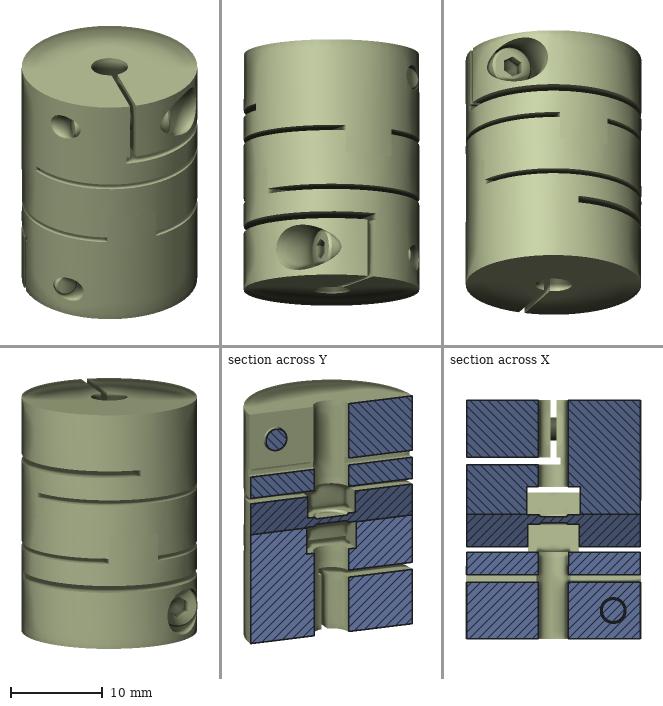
import cadquery as cq
import math


total_height = 26.0
outer_diameter = 19.1
outer_radius = outer_diameter / 2
tongue_gap = 1.1
disc_clearance = 0.57

hub_height = 9.46
bore_diameter = 4.0
tongue_width = 5.56
tongue_inner_distance = 2.85
tongue_top = (total_height - tongue_gap) / 2
tongue_height = tongue_top - hub_height

clamp_height = 6.25
cross_cut_height = 0.75
cross_cut_end = 0.75
clamp_slot_width = 0.68

screw_offset = 6.5
screw_level = clamp_height / 2
screw_diameter = 2.5
shank_length = 8.0
tip_chamfer = 0.2
head_diameter = 4.5
head_height = 2.5
head_chamfer_axial = 0.25
head_chamfer_radial = 0.2
head_seat = -2.03
socket_width = 2.0
socket_depth = 1.25
socket_cone_depth = 0.52

head_hole_diameter = 5.0
shank_hole_diameter = 2.7

disc_bottom = hub_height + disc_clearance
disc_height = total_height - 2 * disc_bottom
groove_depth = tongue_top - disc_bottom
recess_depth = 0.2


def x_cylinder(diameter, start, end):
    """Cylinder on the screw axis between two X positions."""
    return (
        cq.Workplane("YZ", origin=(start, -screw_offset, screw_level))
        .circle(diameter / 2)
        .extrude(end - start)
    )


def hub_blank():
    """Plain round hub with a tongue on its -X and +X sides."""
    body = cq.Workplane("XY").circle(outer_radius).extrude(hub_height)
    tongues = (
        cq.Workplane("XY", origin=(0, 0, hub_height))
        .circle(outer_radius)
        .extrude(tongue_height)
        .intersect(cq.Workplane("XY").box(outer_diameter, tongue_width, total_height))
        .cut(cq.Workplane("XY").box(2 * tongue_inner_distance, tongue_width, total_height))
    )
    return body.union(tongues)


def clamp_cuts():
    """Bore, cross cut from the -X side, and clamp slot from the bore to the -Y side."""
    bore = cq.Workplane("XY").circle(bore_diameter / 2).extrude(hub_height)
    cross_cut = cq.Workplane("XY", origin=(-outer_radius, 0, clamp_height)).box(
        outer_radius + cross_cut_end, outer_diameter, cross_cut_height, centered=(False, True, False)
    )
    clamp_slot = cq.Workplane("XY", origin=(0, -outer_radius, 0)).box(
        clamp_slot_width, outer_radius, clamp_height, centered=(True, False, False)
    )
    return bore.union(cross_cut).union(clamp_slot)


def screw_hole():
    """Wide hole for the head and a narrower one for the shank, right through the hub."""
    head_hole = x_cylinder(head_hole_diameter, -outer_radius, head_seat)
    shank_hole = x_cylinder(shank_hole_diameter, head_seat, outer_radius)
    return head_hole.union(shank_hole)


def clamp_screw():
    """Socket head cap screw."""
    head_face = head_seat - head_height
    tip = head_seat + shank_length
    head_radius = head_diameter / 2
    shank_radius = screw_diameter / 2
    profile = [
        (head_face, 0),
        (head_face, head_radius - head_chamfer_radial),
        (head_face + head_chamfer_axial, head_radius),
        (head_seat, head_radius),
        (head_seat, shank_radius),
        (tip - tip_chamfer, shank_radius),
        (tip, shank_radius - tip_chamfer),
        (tip, 0),
    ]
    screw = (
        cq.Workplane("XY", origin=(0, -screw_offset, screw_level))
        .polyline(profile)
        .close()
        .revolve(360, (0, 0, 0), (1, 0, 0))
    )

    socket = (
        cq.Workplane("YZ", origin=(head_face, -screw_offset, screw_level))
        .transformed(rotate=(0, 0, 90))
        .polygon(6, socket_width / math.cos(math.pi / 6))
        .extrude(socket_depth)
    )
    socket_bottom = cq.Workplane(
        cq.Solid.makeCone(
            socket_width / 2,
            0,
            socket_cone_depth,
            cq.Vector(head_face + socket_depth, -screw_offset, screw_level),
            cq.Vector(1, 0, 0),
        )
    )
    return screw.cut(socket).cut(socket_bottom)


def make_hub():
    """Lower hub with its screw, standing on Z = 0."""
    return hub_blank().cut(clamp_cuts()).cut(screw_hole()).union(clamp_screw())


def disc_recess(level, direction):
    """Shallow cone as wide as the bore, sunk into the web of the disc."""
    return cq.Workplane(
        cq.Solid.makeCone(
            bore_diameter / 2,
            bore_diameter / 2 - recess_depth,
            recess_depth,
            cq.Vector(0, 0, level),
            cq.Vector(0, 0, direction),
        )
    )


def make_disc():
    """Disc grooved along X below and along Y above, with a recess in each groove."""
    web_bottom = tongue_top
    web_top = web_bottom + tongue_gap
    groove_along_x = cq.Workplane("XY", origin=(0, 0, disc_bottom)).box(
        outer_diameter, tongue_width, groove_depth, centered=(True, True, False)
    )
    groove_along_y = cq.Workplane("XY", origin=(0, 0, web_top)).box(
        tongue_width, outer_diameter, groove_depth, centered=(True, True, False)
    )
    return (
        cq.Workplane("XY", origin=(0, 0, disc_bottom))
        .circle(outer_radius)
        .extrude(disc_height)
        .cut(groove_along_x)
        .cut(groove_along_y)
        .cut(disc_recess(web_bottom, 1))
        .cut(disc_recess(web_top, -1))
    )


mid_height = total_height / 2
turn_axis_start = (0, 0, mid_height)
turn_axis_end = (0.25, -0.25, mid_height)
hubs = [make_hub().rotate(turn_axis_start, turn_axis_end, angle) for angle in (0, 180)]
disc = make_disc()

result = cq.Compound.makeCompound([*[hub.solids().val() for hub in hubs], disc.solids().val()])